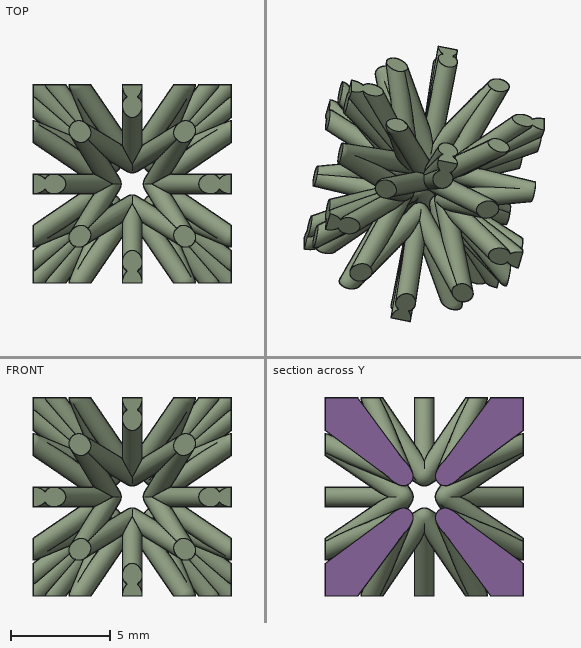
import cadquery as cq

CUBE_SIZE = 10.0
STRUT_DIAMETER = 1.0
NODE_OFFSET = 1.05
FACE_OFFSET = 2.69
SIDE_OFFSET = 3.97

HALF = CUBE_SIZE / 2
STRUT_RADIUS = STRUT_DIAMETER / 2
SIGNS = (-1, 1)
AXIS_COUNT = 3


def node_ball(node):
    """Ball of strut diameter that rounds off the struts meeting at an inner node."""
    return cq.Solid.makeSphere(STRUT_RADIUS, cq.Vector(*node), cq.Vector(0, 0, 1), -90, 90)


def end_cap(end):
    """Half ball that rounds off a strut end, its flat side lying on the cube face."""
    outward = cq.Vector(*[int(coordinate / HALF) for coordinate in end])
    return cq.Solid.makeSphere(STRUT_RADIUS, cq.Vector(*end), outward, -90, 0)


def strut(start, end):
    """Round bar between two points."""
    base = cq.Vector(*start)
    axis = cq.Vector(*end) - base
    return cq.Solid.makeCylinder(STRUT_RADIUS, axis.Length, base, axis)


def place(local_point, out_sign, up_sign, turn):
    """Mirror an (across, out, up) point into a quadrant, then cycle its axes."""
    across, out, up = local_point
    point = (across, out_sign * out, up_sign * up)
    return point[turn:] + point[:turn]


def rounded_ends():
    """Local end points of the six struts around a node that finish in a rounded end."""
    ends = [(0, HALF, SIDE_OFFSET), (0, SIDE_OFFSET, HALF)]
    for side in SIGNS:
        ends.append((side * FACE_OFFSET, HALF, FACE_OFFSET))
        ends.append((side * FACE_OFFSET, FACE_OFFSET, HALF))
    return ends


def lattice_bodies():
    """All struts, node balls and end caps of the twelve nodes, before trimming."""
    bodies = []
    cap_points = set()
    for turn in range(AXIS_COUNT):
        for out_sign in SIGNS:
            for up_sign in SIGNS:
                node = place((0, NODE_OFFSET, NODE_OFFSET), out_sign, up_sign, turn)
                edge_centre = place((0, HALF, HALF), out_sign, up_sign, turn)
                bodies.append(node_ball(node))
                bodies.append(strut(node, edge_centre))
                for local_end in rounded_ends():
                    end = place(local_end, out_sign, up_sign, turn)
                    bodies.append(strut(node, end))
                    cap_points.add(end)
    return bodies + [end_cap(point) for point in sorted(cap_points)]


first_body, *other_bodies = lattice_bodies()
lattice = cq.Workplane(first_body.fuse(*other_bodies))

cube = cq.Workplane().box(CUBE_SIZE, CUBE_SIZE, CUBE_SIZE)
result = cq.Workplane(lattice.intersect(cube).solids().val())